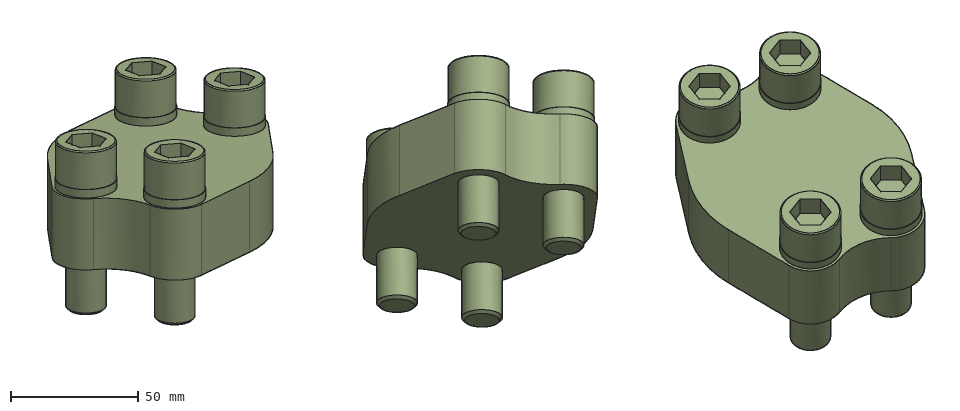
import cadquery as cq
import math

plate_width = 88.7
plate_length = 106.0
plate_thickness = 30.0
waist_diameter = 47.2

bolt_spacing_x = 36.5
bolt_spacing_y = 79.4

washer_diameter = 24.4
washer_thickness = 3.5
head_diameter = 24.0
head_height = 16.0
head_chamfer = 0.5
shank_diameter = 16.0
shank_projection = 21.5
shank_chamfer = 1.2
socket_across_flats = 14.0
socket_depth = 8.0

bolt_x = bolt_spacing_x / 2
bolt_y = bolt_spacing_y / 2
side_radius = plate_width / 2
waist_radius = waist_diameter / 2
corner_radius = plate_length / 2 - bolt_y


def point_on_arc(center, radius, angle):
    """Point at an angle (radians) on an arc."""
    return (center[0] + radius * math.cos(angle), center[1] + radius * math.sin(angle))


def make_plate():
    """Plate with straight flanks and concave waists, all tangent to the corner arcs."""
    corner = (bolt_x, bolt_y)
    corner_distance = math.hypot(bolt_x, bolt_y)
    corner_direction = math.atan2(bolt_y, bolt_x)

    flank_angle = corner_direction - math.acos((side_radius - corner_radius) / corner_distance)
    flank_start = point_on_arc((0, 0), side_radius, flank_angle)
    flank_end = point_on_arc(corner, corner_radius, flank_angle)

    waist_rise = math.sqrt((waist_radius + corner_radius) ** 2 - bolt_x**2)
    waist_angle = math.atan2(waist_rise, -bolt_x)
    waist_start = point_on_arc(corner, corner_radius, waist_angle)
    waist_middle_y = bolt_y + waist_rise - waist_radius
    corner_middle = point_on_arc(corner, corner_radius, (flank_angle + waist_angle) / 2)

    def mirror_x(point):
        return (-point[0], point[1])

    def mirror_y(point):
        return (point[0], -point[1])

    def opposite(point):
        return (-point[0], -point[1])

    outline = (
        cq.Workplane("XY")
        .moveTo(*flank_start)
        .lineTo(*flank_end)
        .threePointArc(corner_middle, waist_start)
        .threePointArc((0, waist_middle_y), mirror_x(waist_start))
        .threePointArc(mirror_x(corner_middle), mirror_x(flank_end))
        .lineTo(*mirror_x(flank_start))
        .threePointArc((-side_radius, 0), opposite(flank_start))
        .lineTo(*opposite(flank_end))
        .threePointArc(opposite(corner_middle), opposite(waist_start))
        .threePointArc((0, -waist_middle_y), mirror_y(waist_start))
        .threePointArc(mirror_y(corner_middle), mirror_y(flank_end))
        .lineTo(*mirror_y(flank_start))
        .threePointArc((side_radius, 0), flank_start)
        .close()
    )
    return outline.extrude(plate_thickness)


def make_bolt():
    """Bolt with its washer, on the Z axis, with the plate underside at Z = 0."""
    washer_top = plate_thickness + washer_thickness
    head_top = washer_top + head_height
    socket_across_corners = socket_across_flats / math.cos(math.pi / 6)

    shank = (
        cq.Workplane("XY", origin=(0, 0, -shank_projection))
        .circle(shank_diameter / 2)
        .extrude(shank_projection + washer_top)
        .faces("<Z")
        .chamfer(shank_chamfer)
    )
    washer = (
        cq.Workplane("XY", origin=(0, 0, plate_thickness))
        .circle(washer_diameter / 2)
        .extrude(washer_thickness)
    )
    head = (
        cq.Workplane("XY", origin=(0, 0, washer_top))
        .circle(head_diameter / 2)
        .extrude(head_height)
        .faces(">Z")
        .chamfer(head_chamfer)
    )
    socket = (
        cq.Workplane("XY", origin=(0, 0, head_top))
        .transformed(rotate=(0, 0, 90))
        .polygon(6, socket_across_corners)
        .extrude(-socket_depth)
    )
    return shank.union(washer).union(head).cut(socket)


result = make_plate()
bolt = make_bolt()
for x in (-bolt_x, bolt_x):
    for y in (-bolt_y, bolt_y):
        result = result.union(bolt.translate((x, y, 0)))